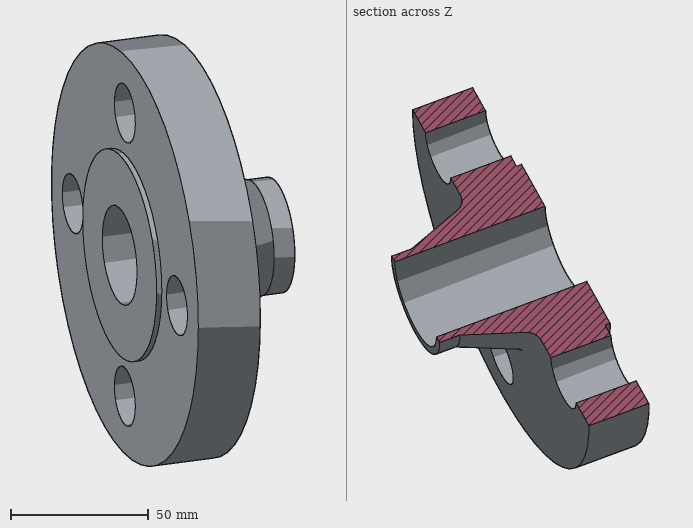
import cadquery as cq
import math

flange_diameter = 155.0
flange_thickness = 24.0
face_diameter = 78.0
face_height = 2.0
total_length = 60.0
bore_diameter = 36.6

neck_diameter = 42.5
neck_length = 8.0
hub_diameter = 63.0
hub_fillet = 6.0

bolt_count = 4
bolt_hole_diameter = 22.0
bolt_circle_diameter = 110.0

flange_front = face_height
flange_back = flange_front + flange_thickness
neck_start = total_length - neck_length

flange_radius = flange_diameter / 2
face_radius = face_diameter / 2
bore_radius = bore_diameter / 2
neck_radius = neck_diameter / 2
hub_radius = hub_diameter / 2
cone_angle = math.atan((hub_radius - neck_radius) / (neck_start - flange_back))
tangent_length = hub_fillet * math.tan((math.pi / 2 - cone_angle) / 2)
fillet_center = (hub_radius + tangent_length, flange_back + hub_fillet)
fillet_start = (fillet_center[0], flange_back)
fillet_end = (
    hub_radius - tangent_length * math.sin(cone_angle),
    flange_back + tangent_length * math.cos(cone_angle),
)
middle_angle = (math.pi / 2 - cone_angle) / 2 + cone_angle
fillet_middle = (
    fillet_center[0] - hub_fillet * math.cos(middle_angle),
    fillet_center[1] - hub_fillet * math.sin(middle_angle),
)


def make_body():
    """Revolve the half section (radius, axial position) around the Y axis."""
    return (
        cq.Workplane("XY")
        .moveTo(bore_radius, 0)
        .lineTo(face_radius, 0)
        .lineTo(face_radius, flange_front)
        .lineTo(flange_radius, flange_front)
        .lineTo(flange_radius, flange_back)
        .lineTo(*fillet_start)
        .threePointArc(fillet_middle, fillet_end)
        .lineTo(neck_radius, neck_start)
        .lineTo(neck_radius, total_length)
        .lineTo(bore_radius, total_length)
        .close()
        .revolve(360, (0, 0, 0), (0, 1, 0))
    )


def make_bolt_holes():
    """Cylinders through the flange, on the X and Z axes."""
    return (
        cq.Workplane("XZ")
        .polarArray(bolt_circle_diameter / 2, 0, 360, bolt_count)
        .circle(bolt_hole_diameter / 2)
        .extrude(-flange_back)
    )


result = make_body().cut(make_bolt_holes())